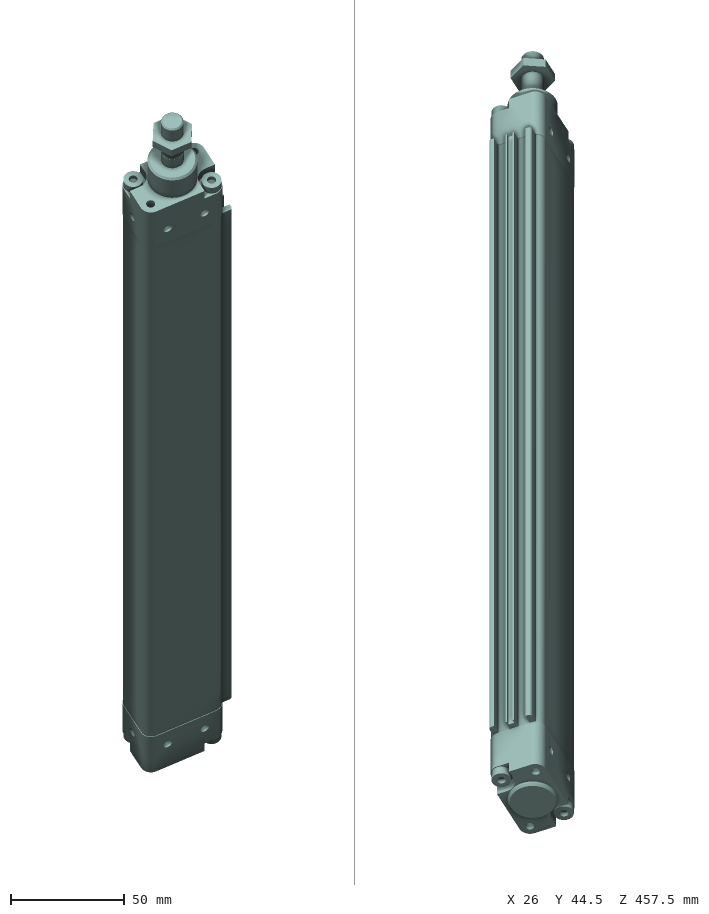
import cadquery as cq
import math


total_height = 457.5
boss_height = 2.0
cap_height = 26.0
body_top = 415.5
collar_top = 429.0

body_width = 26.0
body_depth = 40.0
corner_radius = 5.0
tube_inset = 0.25

rail_height = 4.5
rail_root_depth = 2.5
rail_slot_width = 5.5
rail_center_width = 4.0
rail_wall = 2.7
rail_rounding = 1.5
center_groove_width = 2.7
center_groove_depth = 2.0

collar_diameter = 22.0
collar_chamfer = 1.0

screw_x = 8.2
screw_y = 15.0
screw_head_diameter = 8.5
screw_head_height = 4.0
screw_socket_diameter = 4.0
screw_socket_depth = 2.5
screw_pocket_radius = 6.0
screw_pocket_depth = 5.5
corner_hole_diameter = 4.0
corner_hole_depth = 9.0

side_hole_diameter = 4.0
side_hole_depth = 4.5
side_hole_inset = 16.5
side_hole_y = 9.0

rod_diameter = 10.0
rod_chamfer = 0.7
rod_flat_depth = 0.2
thread_step = 0.1
thread_diameter = rod_diameter - 2 * thread_step
thread_bottom = 435.5
rod_socket_depth = 13.5
rod_bottom = collar_top - rod_socket_depth

nut_across_flats = 17.0
nut_thickness = 4.5
nut_bottom = 444.2

tube_bottom = boss_height + cap_height
tube_top = body_top - cap_height


def cylinder_at(x, y, z, diameter, height):
    return cq.Workplane("XY", origin=(x, y, z)).circle(diameter / 2).extrude(height)


def rounded_block(inset, bottom, top):
    """A block of the body section, set back by `inset` on every side."""
    return (
        cq.Workplane("XY", origin=(0, 0, bottom))
        .rect(body_width - 2 * inset, body_depth - 2 * inset)
        .extrude(top - bottom)
        .edges("|Z")
        .fillet(corner_radius - inset)
    )


def make_body_block():
    rear_cap = rounded_block(0, boss_height, tube_bottom)
    tube = rounded_block(tube_inset, tube_bottom, tube_top)
    front_cap = rounded_block(0, tube_top, body_top)
    return rear_cap.union(tube).union(front_cap)


def rail_rib(x_min, x_max):
    """One rib of the rail, with its root sunk into the tube."""
    root_y = body_depth / 2 - rail_root_depth
    tip_y = body_depth / 2 + rail_height
    return (
        cq.Workplane("XY", origin=((x_min + x_max) / 2, (root_y + tip_y) / 2, tube_bottom))
        .rect(x_max - x_min, tip_y - root_y)
        .extrude(tube_top - tube_bottom)
    )


def make_rail():
    half_center = rail_center_width / 2
    wall_inner = half_center + rail_slot_width
    wall_outer = wall_inner + rail_wall
    left_wall = rail_rib(-wall_outer, -wall_inner).edges("|Z and >Y and <X").fillet(rail_rounding)
    right_wall = rail_rib(wall_inner, wall_outer).edges("|Z and >Y and >X").fillet(rail_rounding)
    groove = (
        cq.Workplane("XY", origin=(0, body_depth / 2 + rail_height, tube_bottom))
        .rect(center_groove_width, 2 * center_groove_depth)
        .extrude(tube_top - tube_bottom)
    )
    center_rib = rail_rib(-half_center, half_center).cut(groove)
    return left_wall.union(right_wall).union(center_rib)


def make_collar():
    collar = cylinder_at(0, 0, body_top, collar_diameter, collar_top - body_top)
    return collar.faces(">Z").chamfer(collar_chamfer)


def make_rear_boss():
    boss = cylinder_at(0, 0, 0, collar_diameter, boss_height)
    return boss.faces("<Z").chamfer(collar_chamfer)


def corner_pocket(x, y, face_z, depth):
    """A pocket open to both outer sides, rounded about the screw axis at its inner corner."""
    sign_x = math.copysign(1, x)
    sign_y = math.copysign(1, y)
    inner_x = x - sign_x * screw_pocket_radius
    inner_y = y - sign_y * screw_pocket_radius
    diagonal = screw_pocket_radius * math.sqrt(0.5)
    outer_x = sign_x * body_width
    outer_y = sign_y * body_depth
    return (
        cq.Workplane("XY", origin=(0, 0, face_z))
        .moveTo(outer_x, outer_y)
        .lineTo(inner_x, outer_y)
        .lineTo(inner_x, y)
        .threePointArc((x - sign_x * diagonal, y - sign_y * diagonal), (x, inner_y))
        .lineTo(outer_x, inner_y)
        .close()
        .extrude(depth)
    )


def add_corner_screw(housing, x, y):
    """A socket screw head standing in an open pocket at both ends of one corner."""
    for face_z, inward in ((body_top, -1), (boss_height, 1)):
        floor_z = face_z + inward * screw_pocket_depth
        head_z = floor_z - inward * screw_head_height
        pocket = corner_pocket(x, y, face_z, inward * screw_pocket_depth)
        head = cylinder_at(x, y, floor_z, screw_head_diameter, -inward * screw_head_height)
        socket = cylinder_at(x, y, head_z, screw_socket_diameter, inward * screw_socket_depth)
        housing = housing.cut(pocket).union(head).cut(socket)
    return housing


def cut_corner_hole(housing, x, y):
    for face_z, inward in ((body_top, -1), (boss_height, 1)):
        housing = housing.cut(
            cylinder_at(x, y, face_z, corner_hole_diameter, inward * corner_hole_depth)
        )
    return housing


def cut_side_holes(housing):
    """In each cap: one hole in the -Y side, and two in each X side."""
    for z in (boss_height + side_hole_inset, body_top - side_hole_inset):
        front_hole = (
            cq.Workplane("XZ", origin=(0, -body_depth / 2, z))
            .circle(side_hole_diameter / 2)
            .extrude(-side_hole_depth)
        )
        housing = housing.cut(front_hole)
        for side in (-1, 1):
            flank_holes = (
                cq.Workplane("YZ", origin=(side * body_width / 2, 0, z))
                .pushPoints([(-side_hole_y, 0), (side_hole_y, 0)])
                .circle(side_hole_diameter / 2)
                .extrude(-side * side_hole_depth)
            )
            housing = housing.cut(flank_holes)
    return housing


def make_housing():
    housing = make_body_block().union(make_rail()).union(make_collar()).union(make_rear_boss())
    for sign in (-1, 1):
        housing = add_corner_screw(housing, sign * screw_x, sign * screw_y)
        housing = cut_corner_hole(housing, sign * screw_x, -sign * screw_y)
    housing = cut_side_holes(housing)
    rod_socket = cylinder_at(0, 0, rod_bottom, rod_diameter, rod_socket_depth)
    return housing.cut(rod_socket)


def make_rod():
    """A shank with two wrench flats and a slightly thinner plain end for the thread."""
    thread = cylinder_at(0, 0, thread_bottom, thread_diameter, total_height - thread_bottom)
    thread = thread.faces(">Z").chamfer(rod_chamfer)
    shank = cylinder_at(0, 0, rod_bottom, rod_diameter, thread_bottom - rod_bottom)
    flat_length = thread_bottom - collar_top
    for side in (-1, 1):
        flat_cut = (
            cq.Workplane("XY", origin=(side * rod_diameter, 0, collar_top))
            .rect(rod_diameter + 2 * rod_flat_depth, rod_diameter)
            .extrude(flat_length)
        )
        shank = shank.cut(flat_cut)
    return shank.union(thread)


def make_nut():
    """A hexagon with corners toward +Y and -Y, bored to fit the threaded end."""
    corner_diameter = nut_across_flats / math.cos(math.radians(30))
    return (
        cq.Workplane("XY", origin=(0, 0, nut_bottom))
        .transformed(rotate=(0, 0, 90))
        .polygon(6, corner_diameter)
        .circle(thread_diameter / 2)
        .extrude(nut_thickness)
    )


housing = make_housing()
rod = make_rod()
nut = make_nut()

result = cq.Compound.makeCompound([housing.val(), rod.val(), nut.val()])